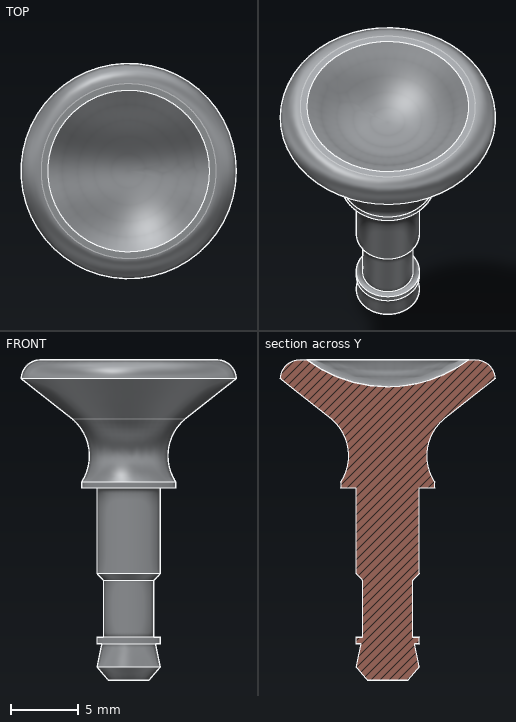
import cadquery as cq
import math

total_height = 23.8
tip_cone_height = 1.0
collar_bottom = 2.71
collar_top = 3.21
neck_top = 7.43
shank_bottom = 7.93
flange_bottom = 14.28
flange_top = 14.73
waist_height = 16.65
head_cone_bottom = 19.4
rim_bottom = 22.4

tip_radius = 1.5
shank_radius = 2.35
barb_top_radius = 2.0
neck_radius = 1.88
flange_radius = 3.5
waist_radius = 2.93
head_cone_small_radius = 4.2
head_radius = 8.0
rim_flat_outer_radius = 6.5
dish_radius = 6.0

dish_depth = 2.0
dish_sphere_radius = (dish_radius**2 + dish_depth**2) / (2 * dish_depth)
dish_center_height = total_height - dish_depth + dish_sphere_radius
dish_middle_radius = dish_radius / 2
dish_middle_height = dish_center_height - math.sqrt(dish_sphere_radius**2 - dish_middle_radius**2)
dish_middle = (dish_middle_radius, dish_middle_height)

rim_width = head_radius - rim_flat_outer_radius
rim_height = total_height - rim_bottom
rim_middle = (
    rim_flat_outer_radius + rim_width * math.cos(math.pi / 4),
    rim_bottom + rim_height * math.sin(math.pi / 4),
)

profile = (
    cq.Workplane("XZ")
    .lineTo(tip_radius, 0)
    .lineTo(shank_radius, tip_cone_height)
    .lineTo(barb_top_radius, collar_bottom)
    .lineTo(shank_radius, collar_bottom)
    .lineTo(shank_radius, collar_top)
    .lineTo(neck_radius, collar_top)
    .lineTo(neck_radius, neck_top)
    .lineTo(shank_radius, shank_bottom)
    .lineTo(shank_radius, flange_bottom)
    .lineTo(flange_radius, flange_bottom)
    .lineTo(flange_radius, flange_top)
    .threePointArc((waist_radius, waist_height), (head_cone_small_radius, head_cone_bottom))
    .lineTo(head_radius, rim_bottom)
    .threePointArc(rim_middle, (rim_flat_outer_radius, total_height))
    .lineTo(dish_radius, total_height)
    .threePointArc(dish_middle, (0, total_height - dish_depth))
    .close()
)

result = profile.revolve(360, (0, 0), (0, 1))